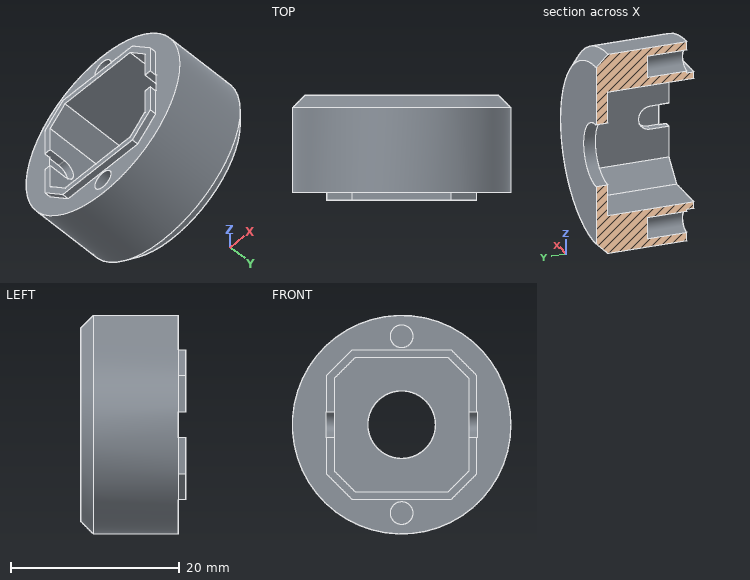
import cadquery as cq
import math

BODY_DIAMETER = 26.0
BODY_LENGTH = 11.6
BACK_CHAMFER = 1.5

POCKET_WIDTH = 16.0
POCKET_CORNER = 2.5
FLOOR_THICKNESS = 1.5
BORE_DIAMETER = 8.0

LIP_HEIGHT = 0.9
LIP_WALL = 0.9
LIP_WIDTH = POCKET_WIDTH + 2 * LIP_WALL
LIP_CORNER = POCKET_CORNER + LIP_WALL * (2 - math.sqrt(2))

NOTCH_WIDTH = 3.0
NOTCH_DEPTH = 3.0
NOTCH_SPAN = 18.0

PIN_HOLE_DIAMETER = 2.7
PIN_HOLE_DEPTH = 5.0
PIN_HOLE_OFFSET = 10.5


def front_plane(y):
    """Plane normal to Y at the given position; extrusions run toward +Y."""
    return cq.Workplane(cq.Plane(origin=(0, y, 0), xDir=(1, 0, 0), normal=(0, 1, 0)))


def octagonal_prism(width, corner, y_start, y_end):
    """Square prism along Y with its four long edges cut at 45 degrees."""
    square = front_plane(y_start).rect(width, width).extrude(y_end - y_start)
    return square.edges("|Y").chamfer(corner)


def make_body():
    cylinder = front_plane(0).circle(BODY_DIAMETER / 2).extrude(BODY_LENGTH)
    return cylinder.faces(">Y").chamfer(BACK_CHAMFER)


def make_lip():
    return octagonal_prism(LIP_WIDTH, LIP_CORNER, -LIP_HEIGHT, 0)


def make_pocket():
    return octagonal_prism(POCKET_WIDTH, POCKET_CORNER, -LIP_HEIGHT, BODY_LENGTH - FLOOR_THICKNESS)


def make_bore():
    return front_plane(0).circle(BORE_DIAMETER / 2).extrude(BODY_LENGTH)


def make_notches():
    """One round-ended slot across the pocket that cuts both side walls."""
    radius = NOTCH_WIDTH / 2
    arc_start = NOTCH_DEPTH - radius
    return (
        cq.Workplane("YZ", origin=(-NOTCH_SPAN / 2, 0, 0))
        .moveTo(-LIP_HEIGHT, -radius)
        .lineTo(arc_start, -radius)
        .threePointArc((NOTCH_DEPTH, 0), (arc_start, radius))
        .lineTo(-LIP_HEIGHT, radius)
        .close()
        .extrude(NOTCH_SPAN)
    )


def make_pin_holes():
    centers = [(0, PIN_HOLE_OFFSET), (0, -PIN_HOLE_OFFSET)]
    return front_plane(0).pushPoints(centers).circle(PIN_HOLE_DIAMETER / 2).extrude(PIN_HOLE_DEPTH)


result = make_body().union(make_lip())
cutters = (make_pocket(), make_bore(), make_notches(), make_pin_holes())
for cutter in cutters:
    result = result.cut(cutter)